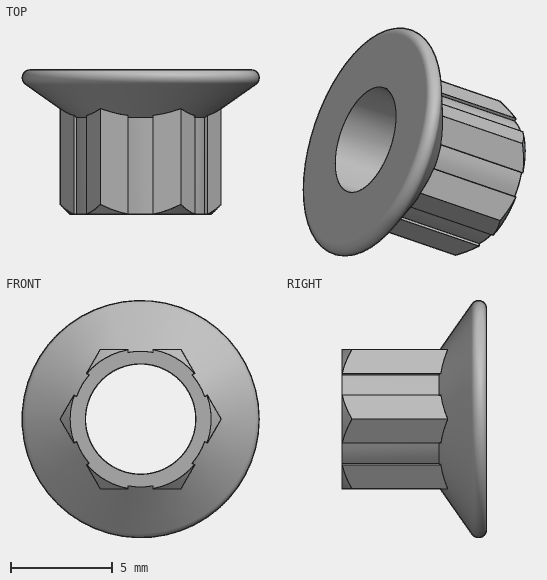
import cadquery as cq
import math

flange_diameter = 11.68
length = 7.12
bore_diameter = 5.42

rim_radius = 0.4
cone_slope_angle = 35.0

hex_across_flats = 6.87
hex_sides = 6
end_face_diameter = 6.94
chamfer_angle = 45.0
groove_width = 1.24
groove_floor_diameter = 6.68

hex_corner_diameter = hex_across_flats / math.cos(math.pi / hex_sides)


def make_flange():
    """Solid of revolution: flat back, rounded rim and cone, from the back face at Y = 0."""
    slope = math.radians(cone_slope_angle)
    rim_center = flange_diameter / 2 - rim_radius
    tangent_radius = rim_center + rim_radius * math.sin(slope)
    tangent_depth = rim_radius * (1 + math.cos(slope))
    inner_radius = bore_diameter / 2
    inner_depth = tangent_depth + (tangent_radius - inner_radius) * math.tan(slope)
    return (
        cq.Workplane("XY")
        .lineTo(rim_center, 0)
        .threePointArc((flange_diameter / 2, -rim_radius), (tangent_radius, -tangent_depth))
        .lineTo(inner_radius, -inner_depth)
        .lineTo(0, -inner_depth)
        .close()
        .revolve(360, (0, 0, 0), (0, 1, 0))
    )


def make_shank():
    """Hexagonal bar with corners on the X axis, conically chamfered at its front end."""
    hexagon = cq.Workplane("XZ").polygon(hex_sides, hex_corner_diameter).extrude(length)
    corner_radius = hex_corner_diameter / 2
    end_radius = end_face_diameter / 2
    chamfer_depth = (corner_radius - end_radius) * math.tan(math.radians(chamfer_angle))
    chamfer_envelope = (
        cq.Workplane("XY")
        .lineTo(corner_radius, 0)
        .lineTo(corner_radius, chamfer_depth - length)
        .lineTo(end_radius, -length)
        .lineTo(0, -length)
        .close()
        .revolve(360, (0, 0, 0), (0, 1, 0))
    )
    return hexagon.intersect(chamfer_envelope)


def make_grooves():
    """Cutters for the grooves: parallel sides, floors on a cylinder around the axis."""
    groove_floor = cq.Workplane("XZ").circle(groove_floor_diameter / 2).extrude(length)
    bars = cq.Workplane("XZ")
    for index in range(hex_sides // 2):
        bar = cq.Workplane("XZ").rect(groove_width, hex_corner_diameter).extrude(length)
        bars = bars.add(bar.rotate((0, 0, 0), (0, 1, 0), index * 360 / hex_sides))
    return bars.combine().cut(groove_floor)


shank = make_shank().cut(make_grooves())
bore = cq.Workplane("XZ").circle(bore_diameter / 2).extrude(length)
result = make_flange().union(shank).cut(bore)